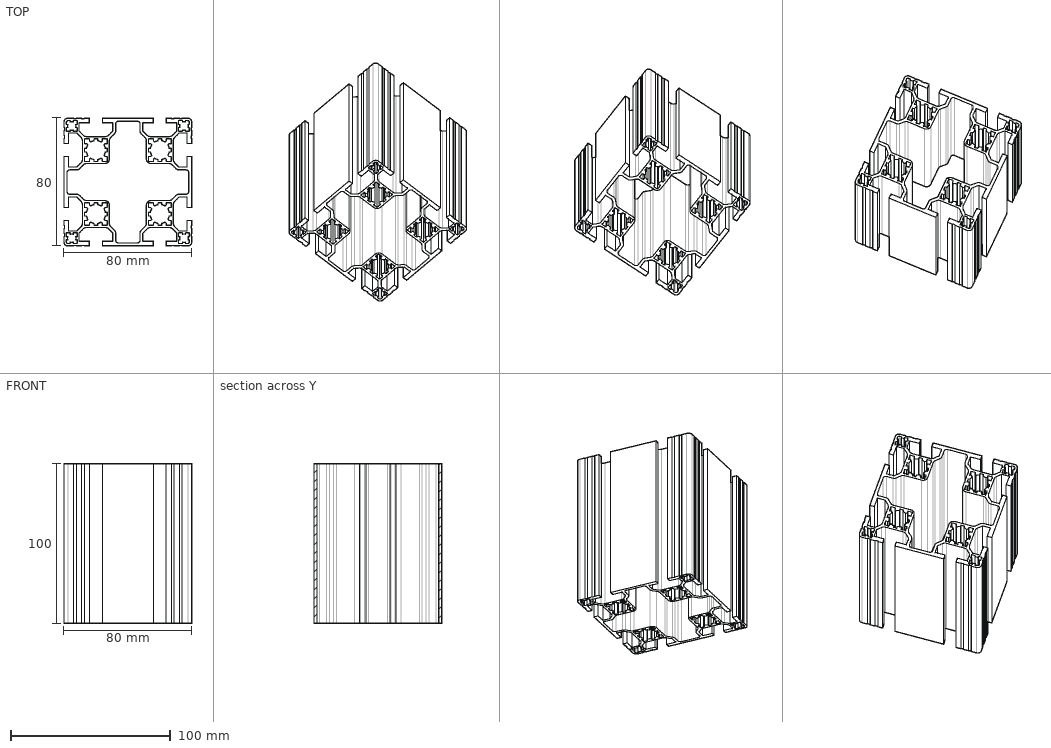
import cadquery as cq
import math

side = 80.0
length = 100.0
half_side = side / 2
outer_radius = 2.45

core_offset = side / 4

slot_opening = 8.0
lip_thickness = 3.0
chamber_width = 21.1
chamber_floor_width = 14.2
chamber_depth = 11.5
chamber_floor_radius = 3.0

face_wall = 2.0
slot_wall = 1.9
core_wall = 1.5
slanted_wall = 2.05
void_end_radius = 1.6
void_bend_radius = 2.55
void_core_radius = 3.0

core_cell = 14.0
core_bore_radius = 5.95
core_tooth_inner = 1.1
core_tooth_outer = 4.1
core_tooth_flank_height = 1.2

corner_cell = 6.6
corner_cell_inset = 4.9
corner_cell_radius = 1.0
corner_bore_radius = 2.6
corner_tooth_width = 2.0

groove_insets = (6.9, 11.9)
groove_width = 1.8
groove_depth = 0.3


def prism(points):
    """Closed outline extruded over the full length."""
    return cq.Workplane("XY").polyline(points).close().extrude(length)


def bar(width, height, x=0.0, y=0.0):
    """Full-length rectangular bar centred on (x, y)."""
    return cq.Workplane("XY").center(x, y).rect(width, height).extrude(length)


def rod(radius):
    """Full-length round bar on the Z axis."""
    return cq.Workplane("XY").circle(radius).extrude(length)


def on_four_sides(body):
    """Union of a body with its copies turned about Z to the other three sides."""
    copies = body
    for turn in (90, 180, 270):
        copies = copies.union(body.rotate((0, 0, 0), (0, 0, 1), turn))
    return copies


def edges_at(x, y):
    """Selector for the lengthwise edges at (x, y) and at its mirror images in X and Y."""
    reach = 0.01
    selector = None
    for sign_x in (-1, 1):
        for sign_y in (-1, 1):
            low = (sign_x * x - reach, sign_y * y - reach, 0)
            high = (sign_x * x + reach, sign_y * y + reach, length)
            box = cq.selectors.BoxSelector(low, high)
            selector = box if selector is None else selector + box
    return selector


def make_blank():
    return bar(side, side).edges("|Z").fillet(outer_radius)


def make_slot():
    """T-slot void, open at y = 0 and running towards -Y, with 45 degree floor corners."""
    shoulder_depth = chamber_depth - (chamber_width - chamber_floor_width) / 2
    right_side = [
        (slot_opening / 2, 0),
        (slot_opening / 2, -lip_thickness),
        (chamber_width / 2, -lip_thickness),
        (chamber_width / 2, -shoulder_depth),
        (chamber_floor_width / 2, -chamber_depth),
    ]
    left_side = [(-x, y) for x, y in reversed(right_side)]
    slot = prism(right_side + left_side)
    return slot.edges(edges_at(chamber_floor_width / 2, chamber_depth)).fillet(chamber_floor_radius)


def make_face_cuts():
    """Both T-slots and all grooves of the +Y face."""
    cuts = cq.Workplane("XY")
    for sign in (-1, 1):
        cuts = cuts.union(make_slot().translate((sign * core_offset, half_side, 0)))
        for inset in groove_insets:
            cuts = cuts.union(bar(groove_width, 2 * groove_depth, sign * (half_side - inset), half_side))
    return cuts


def make_central_void():
    """Cross-shaped void whose four arms flare at 45 degrees onto the core walls."""
    arm_end = half_side - face_wall
    arm_half_width = core_offset - chamber_width / 2 - slot_wall
    core_face = core_offset - core_cell / 2 - core_wall
    slot_slant_sum = half_side - chamber_depth + core_offset - chamber_floor_width / 2
    slant_sum = slot_slant_sum - slanted_wall * math.sqrt(2)
    flare_start = slant_sum - arm_half_width
    flare_end = slant_sum - core_face

    right_flank = [
        (core_face, core_face),
        (core_face, flare_end),
        (arm_half_width, flare_start),
        (arm_half_width, arm_end),
    ]
    left_flank = [(-x, y) for x, y in reversed(right_flank)]
    arm = right_flank + left_flank[:-1]
    outline = []
    for _ in range(4):
        outline += arm
        arm = [(-y, x) for x, y in arm]

    void = prism(outline)
    void = void.edges(edges_at(core_face, core_face)).fillet(void_core_radius)
    bends = edges_at(arm_half_width, flare_start) + edges_at(flare_start, arm_half_width)
    bends += edges_at(core_face, flare_end) + edges_at(flare_end, core_face)
    void = void.edges(bends).fillet(void_bend_radius)
    ends = edges_at(arm_half_width, arm_end) + edges_at(arm_end, arm_half_width)
    return void.edges(ends).fillet(void_end_radius)


def make_core_cell():
    """Void of one core: square pocket less eight teeth with 45 degree outer flanks."""
    wall = core_cell / 2
    flank_top = wall - core_tooth_flank_height
    tooth = prism([
        (core_tooth_inner, wall),
        (core_tooth_inner, flank_top - core_tooth_outer + core_tooth_inner),
        (core_tooth_outer, flank_top),
        (core_tooth_outer, wall),
    ])
    teeth = on_four_sides(tooth.union(tooth.mirror("YZ")))
    return bar(core_cell, core_cell).cut(teeth.cut(rod(core_bore_radius)))


def make_corner_cell():
    """Void of one corner cell, with its rounded corner towards +X +Y."""
    pocket = bar(corner_cell, corner_cell).edges("|Z and >X and >Y").fillet(corner_cell_radius)
    teeth = bar(corner_cell, corner_tooth_width).union(bar(corner_tooth_width, corner_cell))
    return pocket.cut(teeth.cut(rod(corner_bore_radius)))


def in_four_quarters(body, offset):
    """Copies of a body placed at (offset, offset) and turned into every quarter."""
    return on_four_sides(body.translate((offset, offset, 0)))


result = (
    make_blank()
    .cut(on_four_sides(make_face_cuts()))
    .cut(make_central_void())
    .cut(in_four_quarters(make_core_cell(), core_offset))
    .cut(in_four_quarters(make_corner_cell(), half_side - corner_cell_inset))
)